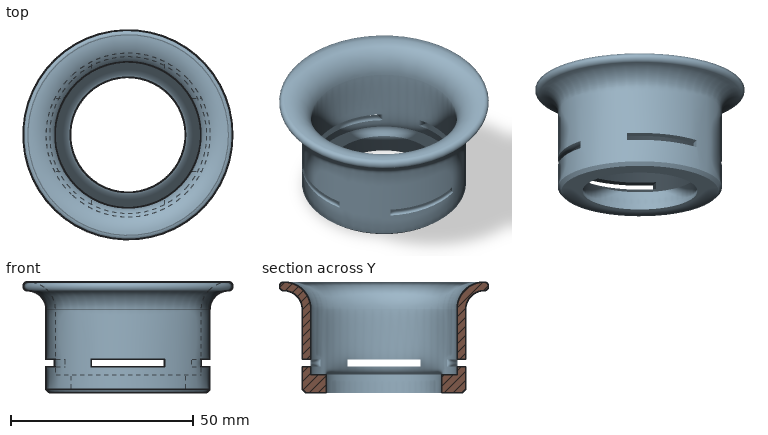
import cadquery as cq
import math

outer_diameter = 57.5
height = 30.5
bore_diameter = 40.0
body_diameter = 45.0
floor_hole_diameter = 31.5
floor_thickness = 5.0
bottom_chamfer = 1.0
slot_length = 20.0
slot_height = 2.0
slot_bottom = 7.2

body_radius = body_diameter / 2
bore_radius = bore_diameter / 2
wall = body_radius - bore_radius
hole_radius = floor_hole_diameter / 2
lip_radius = wall / 2
flare_center_r = outer_diameter / 2 - lip_radius
flare_outer_radius = flare_center_r - body_radius
flare_inner_radius = flare_outer_radius + wall
flare_start_z = height - flare_inner_radius


def flare_point(radius):
    """Midpoint of a quarter-circle flare that turns outward from vertical."""
    offset = radius * math.sqrt(0.5)
    return (flare_center_r - offset, flare_start_z + offset)


def make_sleeve():
    """Revolve the floor, sleeve wall and flared rim about Z."""
    profile = (
        cq.Workplane("XZ")
        .moveTo(hole_radius, 0)
        .lineTo(body_radius - bottom_chamfer, 0)
        .lineTo(body_radius, bottom_chamfer)
        .lineTo(body_radius, flare_start_z)
        .threePointArc(
            flare_point(flare_outer_radius),
            (flare_center_r, flare_start_z + flare_outer_radius),
        )
        .threePointArc((outer_diameter / 2, height - lip_radius), (flare_center_r, height))
        .threePointArc(flare_point(flare_inner_radius), (bore_radius, flare_start_z))
        .lineTo(bore_radius, floor_thickness)
        .lineTo(hole_radius, floor_thickness)
        .close()
    )
    return profile.revolve(360, (0, 0, 0), (0, 1, 0))


def make_slot_cutter(length_x, length_y):
    """Bar that opens a pair of opposite slots through the sleeve wall."""
    return (
        cq.Workplane("XY")
        .box(length_x, length_y, slot_height, centered=(True, True, False))
        .translate((0, 0, slot_bottom))
    )


result = make_sleeve()
result = result.cut(make_slot_cutter(outer_diameter, slot_length))
result = result.cut(make_slot_cutter(slot_length, outer_diameter))